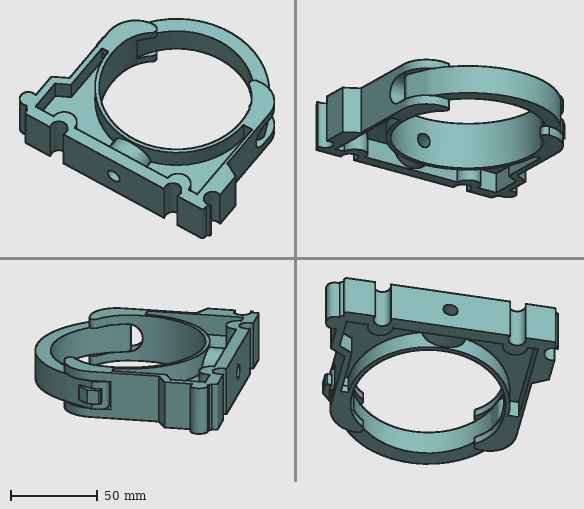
import cadquery as cq
import math


width = 28.0
bore_r = 45.0
base_y = -65.1
body_half_x = 55.3
flange_half_x = 64.5
flange_top_y = -34.3
shoulder_y = -29.1
foot_half_x = 62.7
foot_chamfer_top_y = -60.7
foot_chamfer_bottom_y = -61.8
foot_fillet = 1.6

jaw_top_y = 30.2
latch_jaw_r = 19.1
hinge_jaw_r = 15.7
lip_top_x = 35.3
lip_top_y = 30.0
lip_nose_x = 33.0
lip_nose_y = 27.8
lip_bottom_x = 33.5
lip_bottom_y = 25.3
jaw_inner_y = 9.5
jaw_inner_mid_x = 40.3
jaw_inner_mid_y = 18.1

web = 3.8
pocket_top_y = -0.8
pocket_floor_y = -57.5
shell_r = 47.4
pocket_left_x = -51.8
pocket_right_x = 53.4
pocket_flange_left_x = -60.0
pocket_flange_top_y = -37.2
pocket_shoulder_y = -32.8

joint_r = 5.0
slot_x = 39.9
slot_y = -62.9
slot_boss_r = 7.4
joint_y = -55.2
ball_x = -flange_half_x - (136.2 - 2 * flange_half_x - joint_r)
socket_x = ball_x + 2 * flange_half_x

screw_boss_d = 25.9
screw_hole_d = 8.5

strap_width = 17.0
strap_outer_r = 54.0
strap_arc_end_y = 26.7
strap_inner_end_y = 18.4
latch_bend = (-55.7, 12.0)
latch_outer_x = -56.5
latch_face_top_y = 10.2
latch_end_y = 1.6
latch_end_r = 5.0
hinge_end = (47.7, 12.4)
hinge_end_r = 4.6
latch_window_y = -0.5
hinge_window_y = 0.4

tab_width = 8.5
tab_outer_x = -59.8
tab_bottom_y = 4.6
tab_knee_y = 12.3
tab_chamfer = 1.0
tab_crest = (-54.1, 18.4)
tab_root = (-50.4, 18.7)


def circle_x(radius, y):
    """X of a circle about the pipe axis at height y, on the +X side."""
    return math.sqrt(radius**2 - y**2)


def prism(sketch, height):
    """Extrude a closed XY outline symmetrically about mid-width."""
    return sketch.extrude(height / 2, both=True)


def disk(x, y, radius, height):
    return prism(cq.Workplane("XY").center(x, y).circle(radius), height)


def jaw_arc(jaw_r, side):
    """Outer corner arc of a jaw, as its side, middle and top points."""
    center_x = body_half_x - jaw_r
    center_y = jaw_top_y - jaw_r
    mid = jaw_r * math.sqrt(0.5)
    return (
        (side * body_half_x, center_y),
        (side * (center_x + mid), center_y + mid),
        (side * center_x, jaw_top_y),
    )


def body_blank():
    """Solid clip outline with its open-topped bore and curved jaws."""
    hinge_side, hinge_mid, hinge_top = jaw_arc(hinge_jaw_r, 1)
    latch_side, latch_mid, latch_top = jaw_arc(latch_jaw_r, -1)
    jaw_inner_x = circle_x(bore_r, jaw_inner_y)
    outline = (
        cq.Workplane("XY")
        .moveTo(-foot_half_x, base_y)
        .lineTo(foot_half_x, base_y)
        .lineTo(foot_half_x, foot_chamfer_bottom_y)
        .lineTo(flange_half_x, foot_chamfer_top_y)
        .lineTo(flange_half_x, flange_top_y)
        .lineTo(body_half_x, shoulder_y)
        .lineTo(*hinge_side)
        .threePointArc(hinge_mid, hinge_top)
        .lineTo(lip_top_x, lip_top_y)
        .threePointArc((lip_nose_x, lip_nose_y), (lip_bottom_x, lip_bottom_y))
        .threePointArc((jaw_inner_mid_x, jaw_inner_mid_y), (jaw_inner_x, jaw_inner_y))
        .threePointArc((0, -bore_r), (-jaw_inner_x, jaw_inner_y))
        .threePointArc((-jaw_inner_mid_x, jaw_inner_mid_y), (-lip_bottom_x, lip_bottom_y))
        .threePointArc((-lip_nose_x, lip_nose_y), (-lip_top_x, lip_top_y))
        .lineTo(*latch_top)
        .threePointArc(latch_mid, latch_side)
        .lineTo(-body_half_x, shoulder_y)
        .lineTo(-flange_half_x, flange_top_y)
        .lineTo(-flange_half_x, foot_chamfer_top_y)
        .lineTo(-foot_half_x, foot_chamfer_bottom_y)
        .close()
    )
    blank = prism(outline, width)
    foot_edges = cq.selectors.BoxSelector(
        (-flange_half_x, base_y - foot_fillet, -width),
        (flange_half_x, base_y + foot_fillet, width),
    )
    return blank.edges("|Z").edges(foot_edges).fillet(foot_fillet)


def pockets():
    """Recesses on both faces, leaving the web, shell and slot bosses."""
    shell_x = circle_x(shell_r, pocket_top_y)
    outline = (
        cq.Workplane("XY")
        .moveTo(pocket_left_x, pocket_top_y)
        .lineTo(-shell_x, pocket_top_y)
        .threePointArc((0, -shell_r), (shell_x, pocket_top_y))
        .lineTo(pocket_right_x, pocket_top_y)
        .lineTo(pocket_right_x, pocket_floor_y)
        .lineTo(pocket_flange_left_x, pocket_floor_y)
        .lineTo(pocket_flange_left_x, pocket_flange_top_y)
        .lineTo(pocket_left_x, pocket_shoulder_y)
        .close()
    )
    recess = prism(outline, width)
    recess = recess.cut(prism(cq.Workplane("XY").rect(3 * body_half_x, 3 * body_half_x), web))
    for side in (-1, 1):
        recess = recess.cut(disk(side * slot_x, pocket_floor_y, slot_boss_r, width))
    return recess.cut(along_y(screw_boss_d))


def along_y(diameter):
    """Cylinder on the screw axis, from the base to inside the bore."""
    length = -base_y - bore_r / 2
    return cq.Workplane("XZ", origin=(0, base_y, 0)).circle(diameter / 2).extrude(-length)


def latch_window():
    """Square-ended opening in the latch jaw, down to the shell."""
    height = jaw_top_y - latch_window_y
    opening = cq.Workplane("XY").box(body_half_x, height, strap_width)
    opening = opening.translate((-body_half_x / 2, latch_window_y + height / 2, 0))
    shell_wall = cq.Workplane("XY").box(body_half_x, 2 * strap_inner_end_y, width)
    shell_wall = shell_wall.translate((-body_half_x / 2, 0, 0)).intersect(disk(0, 0, shell_r, width))
    return opening.cut(shell_wall)


def hinge_window():
    """Round-ended opening right through the hinge jaw."""
    round_y = hinge_window_y + strap_width / 2
    height = jaw_top_y - round_y
    opening = cq.Workplane("XY").box(body_half_x, height, strap_width)
    opening = opening.translate((body_half_x / 2, round_y + height / 2, 0))
    round_end = cq.Workplane("YZ").center(round_y, 0).circle(strap_width / 2).extrude(body_half_x)
    return opening.union(round_end)


def tangent_point(point, center, radius, side):
    """Point where a line from `point` touches a circle; side=+1 turns counter-clockwise."""
    dx = point[0] - center[0]
    dy = point[1] - center[1]
    angle = math.atan2(dy, dx) + side * math.acos(radius / math.hypot(dx, dy))
    return (center[0] + radius * math.cos(angle), center[1] + radius * math.sin(angle))


def strap():
    """Upper ring segment with tangent legs running into round ends."""
    outer_x = circle_x(strap_outer_r, strap_arc_end_y)
    inner_x = circle_x(bore_r, strap_inner_end_y)
    outer_left = (-outer_x, strap_arc_end_y)
    outer_right = (outer_x, strap_arc_end_y)
    inner_left = (-inner_x, strap_inner_end_y)
    inner_right = (inner_x, strap_inner_end_y)
    inner_mid_y = (strap_inner_end_y + latch_end_y) / 2
    inner_mid_x = circle_x(bore_r, inner_mid_y)
    latch_corner_x = latch_outer_x + latch_end_r
    latch_corner_y = latch_end_y + latch_end_r
    corner_mid = latch_end_r * math.sqrt(0.5)
    outline = (
        cq.Workplane("XY")
        .moveTo(*latch_bend)
        .lineTo(*outer_left)
        .threePointArc((0, strap_outer_r), outer_right)
        .lineTo(*tangent_point(outer_right, hinge_end, hinge_end_r, -1))
        .lineTo(*hinge_end)
        .lineTo(*tangent_point(inner_right, hinge_end, hinge_end_r, 1))
        .lineTo(*inner_right)
        .threePointArc((0, bore_r), inner_left)
        .threePointArc((-inner_mid_x, inner_mid_y), (-circle_x(bore_r, latch_end_y), latch_end_y))
        .lineTo(latch_corner_x, latch_end_y)
        .threePointArc(
            (latch_corner_x - corner_mid, latch_corner_y - corner_mid), (latch_outer_x, latch_corner_y)
        )
        .lineTo(latch_outer_x, latch_face_top_y)
        .close()
    )
    band = prism(outline, strap_width)
    return band.union(disk(*hinge_end, hinge_end_r, strap_width))


def latch_tab():
    """Narrow wedge on the outside of the latch end."""
    outline = (
        cq.Workplane("XY")
        .moveTo(*tab_root)
        .lineTo(*tab_crest)
        .lineTo(tab_outer_x, tab_knee_y)
        .lineTo(tab_outer_x, tab_bottom_y + tab_chamfer)
        .lineTo(tab_outer_x + tab_chamfer, tab_bottom_y)
        .lineTo(tab_root[0], tab_bottom_y)
        .close()
    )
    return prism(outline, tab_width)


body = body_blank().cut(pockets()).union(disk(ball_x, joint_y, joint_r, width))
body = body.cut(disk(socket_x, joint_y, joint_r, width))
for slot_side in (-1, 1):
    body = body.cut(disk(slot_side * slot_x, slot_y, joint_r, width))
body = body.cut(along_y(screw_hole_d)).cut(latch_window()).cut(hinge_window())

result = body.union(strap()).union(latch_tab())